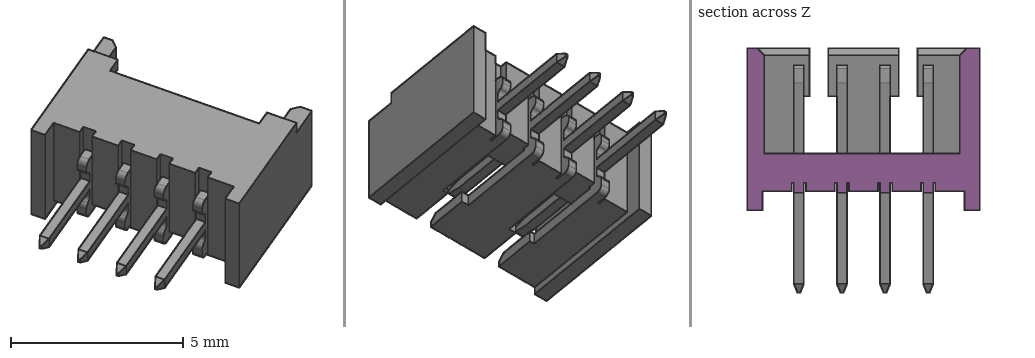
import cadquery as cq


WIDTH = 6.75
HEIGHT = 3.45
CHEEK_DEPTH = 4.71
CHEEK_THICKNESS = 0.455
REAR_FACE_DEPTH = 4.15
FLOOR_BOTTOM = 0.27
FLOOR_TOP = 0.67

CAVITY_LEFT_WALL = 0.505
CAVITY_RIGHT_WALL = 0.59
CAVITY_WIDTH = WIDTH - CAVITY_LEFT_WALL - CAVITY_RIGHT_WALL
CAVITY_X = (CAVITY_LEFT_WALL - CAVITY_RIGHT_WALL) / 2
CAVITY_DEPTH = 3.05
ROOF_THICKNESS = 0.4
CAVITY_TOP = HEIGHT - ROOF_THICKNESS
LEAD_IN = 0.21

ROOF_SETBACK = 1.0
ROOF_NOTCH_DEPTH = 1.505
ROOF_NOTCH_MARGIN = 0.96

PITCH = 1.25
PIN_COUNT = 4
PIN_XS = [(i - (PIN_COUNT - 1) / 2) * PITCH for i in range(PIN_COUNT)]
PIN_WIDTH = 0.3
PIN_HEIGHT = 0.35
PIN_Z = 1.455

GROOVE_WIDTH = 0.405
GROOVE_FLOOR_DEPTH = 3.91

SLOT_X = 1.29
SLOT_WIDTH = 0.54
SLOT_LENGTH = 1.4
WIDE_SLOT_WIDTH = PITCH - PIN_WIDTH

PIN_START_DEPTH = 0.5
PIN_BEVEL_END_DEPTH = 0.58
PIN_TAPER_END_DEPTH = 1.0
PIN_BEVEL_HEIGHT = 0.115
PIN_TAPER_HEIGHT = 0.2
TAIL_TAPER_DEPTH = 6.84
TAIL_END_DEPTH = 7.1
TAIL_TIP_WIDTH = 0.08
TAIL_TIP_HEIGHT = 0.12

LOBE_TOP = 2.555
LOBE_BOTTOM = FLOOR_BOTTOM
LOBE_FACE_DEPTH = 4.415
LOBE_EDGE_RADIUS = 0.19
RECESS_DEPTH = 4.195
BEND_OFFSET = 0.6
BEND_HALF_HEIGHT = 0.18


def block(x_center, width, near_depth, far_depth, bottom, top):
    """Box spanning two depths behind the mating face and two heights."""
    size = (width, far_depth - near_depth, top - bottom)
    center = (x_center, -(near_depth + far_depth) / 2, (bottom + top) / 2)
    return cq.Workplane("XY").box(*size).translate(center)


def make_shell():
    """Closed body between two end cheeks, hollowed from the mating face."""
    shell = block(0, WIDTH, 0, REAR_FACE_DEPTH, FLOOR_BOTTOM, HEIGHT)
    cheek_x = (WIDTH - CHEEK_THICKNESS) / 2
    for side in (-1, 1):
        shell = shell.union(block(side * cheek_x, CHEEK_THICKNESS, 0, CHEEK_DEPTH, 0, HEIGHT))

    cavity = block(CAVITY_X, CAVITY_WIDTH, 0, CAVITY_DEPTH, FLOOR_TOP, CAVITY_TOP)
    mouth = (
        cq.Workplane("XZ")
        .center(CAVITY_X, (FLOOR_TOP + CAVITY_TOP) / 2)
        .rect(CAVITY_WIDTH + 2 * LEAD_IN, CAVITY_TOP - FLOOR_TOP + 2 * LEAD_IN)
        .workplane(offset=LEAD_IN)
        .rect(CAVITY_WIDTH, CAVITY_TOP - FLOOR_TOP)
        .loft(ruled=True)
    )
    return shell.cut(cavity).cut(mouth)


def cut_roof(shell):
    """Set the roof back, with a deeper notch across its middle."""
    notch_width = WIDTH - 2 * ROOF_NOTCH_MARGIN
    setback = block(0, WIDTH, 0, ROOF_SETBACK, CAVITY_TOP, HEIGHT)
    notch = block(0, notch_width, 0, ROOF_NOTCH_DEPTH, CAVITY_TOP, HEIGHT)
    return shell.cut(setback).cut(notch)


def cut_floor_slots(shell):
    """Narrow slots from the mating face that widen to run out at the rear."""
    for side in (-1, 1):
        narrow = block(side * SLOT_X, SLOT_WIDTH, 0, SLOT_LENGTH, 0, FLOOR_TOP)
        wide = block(side * PITCH, WIDE_SLOT_WIDTH, SLOT_LENGTH, REAR_FACE_DEPTH, 0, FLOOR_TOP)
        shell = shell.cut(narrow).cut(wide)
    return shell


def cut_grooves(shell):
    """Full-height grooves in the rear wall."""
    for x in PIN_XS:
        shell = shell.cut(block(x, GROOVE_WIDTH, GROOVE_FLOOR_DEPTH, REAR_FACE_DEPTH, 0, HEIGHT))
    return shell


def extrude_side_profile(profile):
    """Extrude a closed YZ profile to the pin width, centred on X = 0."""
    return profile.close().extrude(PIN_WIDTH / 2, both=True)


def make_pin():
    """Straight pin with a tapered mating end and a pyramid-tipped tail."""
    half = PIN_HEIGHT / 2
    upper = [
        (-PIN_START_DEPTH, PIN_BEVEL_HEIGHT / 2),
        (-PIN_BEVEL_END_DEPTH, PIN_TAPER_HEIGHT / 2),
        (-PIN_TAPER_END_DEPTH, half),
        (-TAIL_TAPER_DEPTH, half),
    ]
    lower = [(y, -z) for y, z in reversed(upper)]
    shank = extrude_side_profile(cq.Workplane("YZ").polyline(upper + lower))
    tip = (
        cq.Workplane("XZ", origin=(0, -TAIL_TAPER_DEPTH, 0))
        .rect(PIN_WIDTH, PIN_HEIGHT)
        .workplane(offset=TAIL_END_DEPTH - TAIL_TAPER_DEPTH)
        .rect(TAIL_TIP_WIDTH, TAIL_TIP_HEIGHT)
        .loft(ruled=True)
    )
    return shank.union(tip).translate((0, 0, PIN_Z))


def make_plate():
    """Plate anchored in the rear wall, its two lobes blending into a recess."""
    face_y = -LOBE_FACE_DEPTH
    root_y = -RECESS_DEPTH
    mid_y = (face_y + root_y) / 2
    edge_y = face_y + LOBE_EDGE_RADIUS
    anchor_y = -CAVITY_DEPTH
    upper_z = PIN_Z + BEND_OFFSET
    lower_z = PIN_Z - BEND_OFFSET
    profile = (
        cq.Workplane("YZ")
        .moveTo(anchor_y, LOBE_TOP)
        .lineTo(edge_y, LOBE_TOP)
        .tangentArcPoint((face_y, LOBE_TOP - LOBE_EDGE_RADIUS), relative=False)
        .lineTo(face_y, upper_z + BEND_HALF_HEIGHT)
        .tangentArcPoint((mid_y, upper_z), relative=False)
        .tangentArcPoint((root_y, upper_z - BEND_HALF_HEIGHT), relative=False)
        .lineTo(root_y, lower_z + BEND_HALF_HEIGHT)
        .tangentArcPoint((mid_y, lower_z), relative=False)
        .tangentArcPoint((face_y, lower_z - BEND_HALF_HEIGHT), relative=False)
        .lineTo(face_y, LOBE_BOTTOM + LOBE_EDGE_RADIUS)
        .tangentArcPoint((edge_y, LOBE_BOTTOM), relative=False)
        .lineTo(anchor_y, LOBE_BOTTOM)
    )
    return extrude_side_profile(profile)


housing = cut_grooves(cut_floor_slots(cut_roof(make_shell())))
contact = make_plate().union(make_pin())

result = housing
for pin_x in PIN_XS:
    result = result.union(contact.translate((pin_x, 0, 0)))